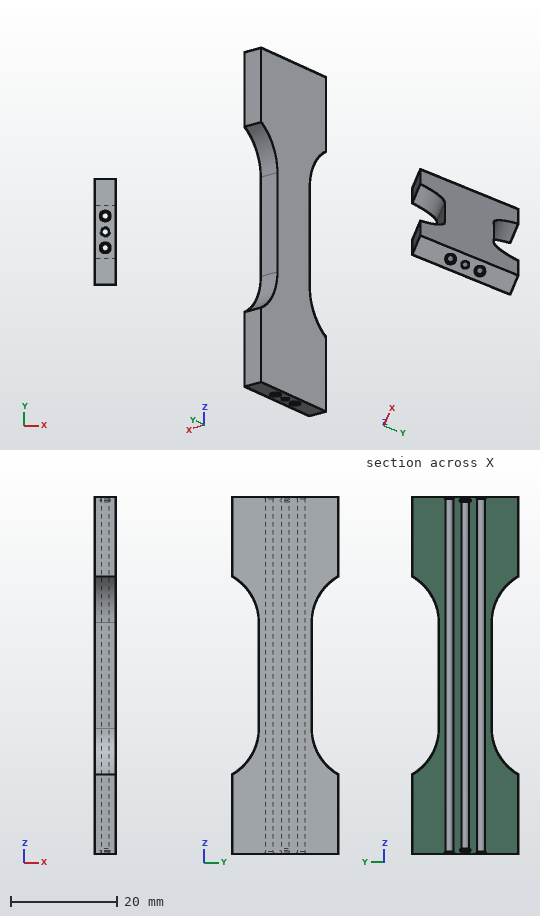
import cadquery as cq
import math

thickness = 4.0
grip_width = 20.0
grip_length = 15.0
gauge_width = 10.0
gauge_length = 20.0
shoulder_radius = 10.0

hole_diameter = 1.4
side_hole_offset = 3.0

mouth_diameter = 2.0
bevel_diameter = 1.75
bevel_depth = 0.1
mouth_depth = 0.45

groove_diameter = 2.0
groove_start = 0.4

half_grip = grip_width / 2
half_gauge = gauge_width / 2

shoulder_step = half_grip - half_gauge
shoulder_angle = math.acos(1 - shoulder_step / shoulder_radius)
shoulder_height = shoulder_radius * math.sin(shoulder_angle)

gauge_end = gauge_length / 2
shoulder_end = gauge_end + shoulder_height
half_length = shoulder_end + grip_length

groove_height = (groove_diameter - hole_diameter) / 2
groove_bottom = groove_start + groove_height
groove_end = groove_bottom + groove_height


def shoulder_middle(side, end):
    """Point halfway along the shoulder arc on the given Y side and Z end."""
    half_angle = shoulder_angle / 2
    y = half_gauge + shoulder_radius * (1 - math.cos(half_angle))
    z = gauge_end + shoulder_radius * math.sin(half_angle)
    return (side * y, end * z)


def make_body():
    """Dog-bone outline in the YZ plane, extruded through the thickness."""
    return (
        cq.Workplane("YZ")
        .moveTo(-half_grip, -half_length)
        .lineTo(half_grip, -half_length)
        .lineTo(half_grip, -shoulder_end)
        .threePointArc(shoulder_middle(1, -1), (half_gauge, -gauge_end))
        .lineTo(half_gauge, gauge_end)
        .threePointArc(shoulder_middle(1, 1), (half_grip, shoulder_end))
        .lineTo(half_grip, half_length)
        .lineTo(-half_grip, half_length)
        .lineTo(-half_grip, shoulder_end)
        .threePointArc(shoulder_middle(-1, 1), (-half_gauge, gauge_end))
        .lineTo(-half_gauge, -gauge_end)
        .threePointArc(shoulder_middle(-1, -1), (-half_grip, -shoulder_end))
        .close()
        .extrude(thickness / 2, both=True)
    )


def make_hole(y, end_profile):
    """Solid of a through hole at the given Y, the same at both ends.

    end_profile lists (diameter, depth below the end face) from the end face inwards.
    """
    upper = [(diameter / 2, half_length - depth) for diameter, depth in end_profile]
    lower = [(radius, -z) for radius, z in reversed(upper)]
    outline = [(0, half_length)] + upper + lower + [(0, -half_length)]
    hole = cq.Workplane("XZ").polyline(outline).close().revolve(360, (0, 0, 0), (0, 1, 0))
    return hole.translate((0, y, 0))


def cut_middle_hole(body):
    """Cut the plain-mouthed middle hole with its V-grooves."""
    profile = [
        (hole_diameter, 0),
        (hole_diameter, groove_start),
        (groove_diameter, groove_bottom),
        (hole_diameter, groove_end),
    ]
    return body.cut(make_hole(0, profile))


def cut_side_holes(body):
    """Cut the two side holes with their flared mouths."""
    profile = [
        (mouth_diameter, 0),
        (bevel_diameter, bevel_depth),
        (hole_diameter, mouth_depth),
    ]
    for side in (-1, 1):
        body = body.cut(make_hole(side * side_hole_offset, profile))
    return body


specimen = make_body()
specimen = cut_middle_hole(specimen)
result = cut_side_holes(specimen)